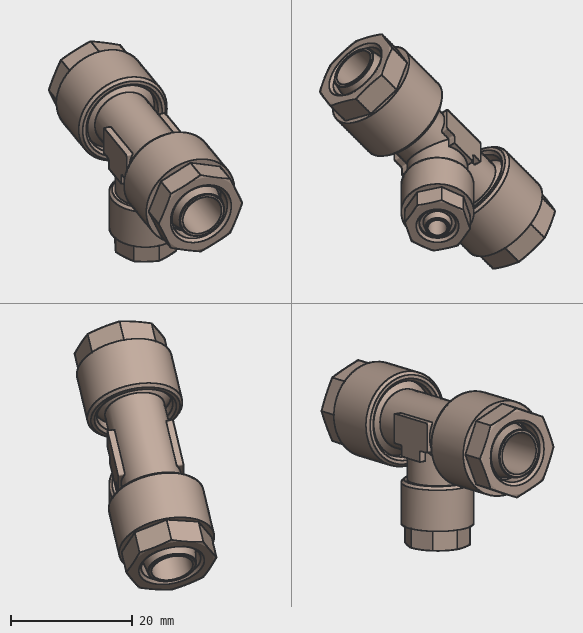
import cadquery as cq
import math

TUBE_DIAMETER = 10.0
RUN_BORE = 7.0
BRANCH_BORE = 3.2

PAD_DISTANCE = 5.5
PAD_WIDTH = 9.1
PAD_HALF_HEIGHT = 2.5
PAD_STEM_WIDTH = 5.0
PAD_STEM_BOTTOM = -4.4
PAD_CORNER_RADIUS = 0.3

BARB_LIP = 0.12
RUN_TIP = 22.5
RUN_BARB_TIP_DIAMETER = 8.1
RUN_BARB_DIAMETER = 9.3
RUN_BARB_LENGTH = 3.5
RUN_SHOULDER = RUN_TIP - RUN_BARB_LENGTH
BRANCH_TIP = 20.0
BRANCH_BARB_TIP_DIAMETER = 4.0
BRANCH_BARB_DIAMETER = 4.7
BRANCH_BARB_LENGTH = 1.4
BRANCH_SHOULDER = BRANCH_TIP - BRANCH_BARB_LENGTH

RUN_SEAT_DIAMETER = 12.77
RUN_SEAT_START = 9.15

BRANCH_SEAT_DIAMETER = 8.77

NUT_START = 8.5
COLLAR_CHAMFER = 0.5
NUT_TIP_GAP = 0.5
HOSE_HOLE_CHAMFER = 0.5
OCTAGON_SIDES = 8
OCTAGON_BEVEL_ANGLE = 15.0

RUN_COLLAR_DIAMETER = 16.0
RUN_COLLAR_END = 17.85
RUN_OCTAGON_FLATS = 14.0
RUN_HOSE_HOLE = 10.0
RUN_NUT_MOUTH_CHAMFER = 0.5

BRANCH_COLLAR_DIAMETER = 12.0
BRANCH_COLLAR_END = 15.95
BRANCH_OCTAGON_FLATS = 10.0
BRANCH_HOSE_HOLE = 6.0


def to_branch(part):
    """Turn a part built along +Z so that it points along -Z."""
    return part.rotate((0, 0, 0), (1, 0, 0), 180)


def to_run(part, side):
    """Turn a part built along +Z so that it points along side * X."""
    return part.rotate((0, 0, 0), (0, 1, 0), side * 90)


def cylinder(diameter, start, end):
    return cq.Workplane("XY").workplane(offset=start).circle(diameter / 2).extrude(end - start)


def revolved(profile):
    """Revolve a closed (radius, height) profile about the Z axis."""
    return cq.Workplane("XZ").polyline(profile).close().revolve(360, (0, 0, 0), (0, 1, 0))


def cone(start_diameter, end_diameter, start, end):
    return revolved([(0, start), (start_diameter / 2, start), (end_diameter / 2, end), (0, end)])


def barb(tip_diameter, root_diameter, length, tip):
    """Cone that narrows to the barb tip, with a small edge break there."""
    root = tip - length
    return revolved([
        (0, root),
        (root_diameter / 2, root),
        (tip_diameter / 2, tip - BARB_LIP),
        (tip_diameter / 2 - BARB_LIP, tip),
        (0, tip),
    ])


def run_arm():
    """Half of the run: tube, bevelled seat and barb."""
    seat_bevel = (RUN_SEAT_DIAMETER - TUBE_DIAMETER) / 2
    bevel_end = RUN_SEAT_START + seat_bevel
    return (
        cylinder(TUBE_DIAMETER, 0, RUN_SEAT_START)
        .union(cone(TUBE_DIAMETER, RUN_SEAT_DIAMETER, RUN_SEAT_START, bevel_end))
        .union(cylinder(RUN_SEAT_DIAMETER, bevel_end, RUN_SHOULDER))
        .union(barb(RUN_BARB_TIP_DIAMETER, RUN_BARB_DIAMETER, RUN_BARB_LENGTH, RUN_TIP))
    )


def branch_arm():
    """Branch: tube, seat and barb."""
    return (
        cylinder(TUBE_DIAMETER, 0, NUT_START)
        .union(cylinder(BRANCH_SEAT_DIAMETER, NUT_START, BRANCH_SHOULDER))
        .union(barb(BRANCH_BARB_TIP_DIAMETER, BRANCH_BARB_DIAMETER, BRANCH_BARB_LENGTH, BRANCH_TIP))
    )


def wrench_pads():
    """T-shaped plate through the tee whose two faces are the pads."""
    thickness = 2 * PAD_DISTANCE
    plate = (
        cq.Workplane("XY")
        .box(PAD_WIDTH, thickness, 2 * PAD_HALF_HEIGHT)
        .edges("|Y")
        .fillet(PAD_CORNER_RADIUS)
    )
    stem = (
        cq.Workplane("XY")
        .box(PAD_STEM_WIDTH, thickness, -PAD_STEM_BOTTOM, centered=(True, True, False))
        .translate((0, 0, PAD_STEM_BOTTOM))
    )
    inner_corners = cq.selectors.BoxSelector(
        (-PAD_STEM_WIDTH, -thickness, -PAD_HALF_HEIGHT - PAD_CORNER_RADIUS / 2),
        (PAD_STEM_WIDTH, thickness, -PAD_HALF_HEIGHT + PAD_CORNER_RADIUS / 2),
    )
    joined = plate.union(stem)
    return joined.edges("|Y").edges(inner_corners).fillet(PAD_CORNER_RADIUS)


def make_tee():
    body = to_branch(branch_arm())
    for side in (-1, 1):
        body = body.union(to_run(run_arm(), side))
    body = body.union(wrench_pads())
    run_bore = to_run(cylinder(RUN_BORE, -RUN_TIP, RUN_TIP), 1)
    branch_bore = to_branch(cylinder(BRANCH_BORE, 0, BRANCH_TIP))
    return body.cut(run_bore).cut(branch_bore)


def octagon_end(flats, start, end):
    """Octagonal prism with a corner on the X axis and corners bevelled at its end."""
    corner_diameter = flats / math.cos(math.pi / OCTAGON_SIDES)
    bevel_radius = (corner_diameter - flats) / 2
    bevel_height = bevel_radius * math.tan(math.radians(OCTAGON_BEVEL_ANGLE))
    prism = (
        cq.Workplane("XY")
        .workplane(offset=start)
        .polygon(OCTAGON_SIDES, corner_diameter)
        .extrude(end - start)
    )
    envelope = cylinder(corner_diameter, start, end - bevel_height).union(
        cone(corner_diameter, flats, end - bevel_height, end)
    )
    return prism.intersect(envelope)


def nut_blank(collar_diameter, collar_end, flats, bore, bore_end, hose_hole, end):
    """Collar and octagon with a stepped bore: seat bore from the back, hose hole at the end."""
    collar = cylinder(collar_diameter, NUT_START, collar_end).faces("<Z").chamfer(COLLAR_CHAMFER)
    countersink_start = end - HOSE_HOLE_CHAMFER
    countersink_diameter = hose_hole + 2 * HOSE_HOLE_CHAMFER
    return (
        collar.union(octagon_end(flats, collar_end, end))
        .cut(cylinder(bore, NUT_START, bore_end))
        .cut(cylinder(hose_hole, bore_end, end))
        .cut(cone(hose_hole, countersink_diameter, countersink_start, end))
    )


def make_run_nut():
    blank = nut_blank(
        RUN_COLLAR_DIAMETER,
        RUN_COLLAR_END,
        RUN_OCTAGON_FLATS,
        RUN_SEAT_DIAMETER,
        RUN_SHOULDER,
        RUN_HOSE_HOLE,
        RUN_TIP - NUT_TIP_GAP,
    )
    mouth_diameter = RUN_SEAT_DIAMETER + 2 * RUN_NUT_MOUTH_CHAMFER
    mouth_end = NUT_START + RUN_NUT_MOUTH_CHAMFER
    return blank.cut(cone(mouth_diameter, RUN_SEAT_DIAMETER, NUT_START, mouth_end))


def make_branch_nut():
    return nut_blank(
        BRANCH_COLLAR_DIAMETER,
        BRANCH_COLLAR_END,
        BRANCH_OCTAGON_FLATS,
        BRANCH_SEAT_DIAMETER,
        BRANCH_SHOULDER,
        BRANCH_HOSE_HOLE,
        BRANCH_TIP - NUT_TIP_GAP,
    )


tee = make_tee()
run_nuts = [to_run(make_run_nut(), side) for side in (-1, 1)]
branch_nut = to_branch(make_branch_nut())

result = cq.Compound.makeCompound([tee.val(), *[nut.val() for nut in run_nuts], branch_nut.val()])